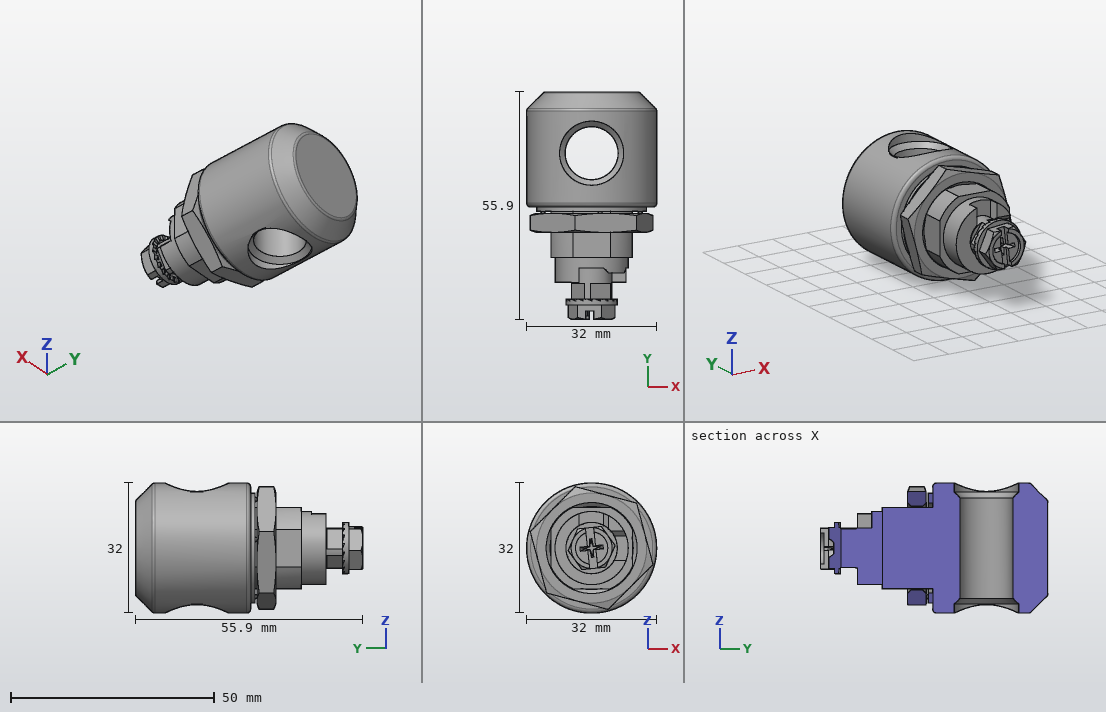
import cadquery as cq
import math


CAP_DIAMETER = 32.0
CAP_LENGTH = 28.3
CAP_CHAMFER = 4.35
CAP_FILLET = 1.0
SHANK_RADIUS = 11.0
SHANK_ACROSS_FLATS = 20.0
SHANK_LENGTH = 12.4

HOLE_RADIUS = 6.5
HOLE_MOUTH_RADIUS = 7.85
HOLE_FROM_SEAT = 13.2
MOUTH_CONE_HEIGHT = HOLE_MOUTH_RADIUS - HOLE_RADIUS
MOUTH_CONE_TOP = 13.7

RING_RADIUS = 13.5
RING_THICKNESS = 1.05
STUD_COUNT = 4
STUD_CIRCLE_RADIUS = 12.1
STUD_BASE_RADIUS = 0.6
STUD_TIP_RADIUS = 0.4
STUD_HEIGHT = 0.45
STUD_ANGLE = 80

NUT_ACROSS_FLATS = 27.0
NUT_THICKNESS = 4.7
NUT_VERTEX_ANGLE = 45
NUT_CHAMFER_ANGLE = 15
NUT_BORE_RADIUS = 10.2
NUT_BORE_MOUTH_RADIUS = 11.15
NUT_START = RING_THICKNESS + STUD_HEIGHT
NUT_END = NUT_START + NUT_THICKNESS

ROTOR_RADIUS = 9.0
ROTOR_LENGTH = 6.1
NOTCH_DEPTH = 3.5
NOTCH_EDGE = 3.05
STOP_HEIGHT = 1.15
STOP_EDGE = 2.95
HUB_RADIUS = 4.95
HUB_LENGTH = 4.1
HUB_SHOULDER = 0.3
HUB_ACROSS_FLATS = 8.05
HUB_FLAT_ANGLE = 57
ROTOR_END = SHANK_LENGTH + ROTOR_LENGTH
HUB_END = ROTOR_END + HUB_LENGTH

FLANGE_RADIUS = 6.3
FLANGE_THICKNESS = 1.5
TOOTH_COUNT = 36
TOOTH_DEPTH = 0.45
HEAD_ACROSS_FLATS = 10.05
HEAD_HEIGHT = 3.45
HEAD_CHAMFER_ANGLE = 30
HEAD_TURN = 6
DISH_RADIUS = 3.95
DISH_DEPTH = 0.85
SLOT_WIDTH = 2.0
SLOT_DEPTH = 2.0
CROSS_REACH = 2.85
CROSS_FLOOR_REACH = 1.7
CROSS_ARM_WIDTH = 1.0
CROSS_TIP_WIDTH = 0.1
CROSS_DEPTH = 2.4
HEAD_START = HUB_END + FLANGE_THICKNESS
HEAD_END = HEAD_START + HEAD_HEIGHT

AXIS_START = (0, 0, 0)
AXIS_END = (0, 1, 0)


def plane_at(depth):
    """Sketch plane facing -Y, with local x along X and local y along Z."""
    return cq.Workplane("XZ", origin=(0, -depth, 0))


def cylinder(start_depth, radius, length):
    return plane_at(start_depth).circle(radius).extrude(length)


def turned(profile):
    """Revolve a profile of (radius, depth) points about the Y axis."""
    points = [(radius, -depth) for radius, depth in profile]
    return cq.Workplane("XY").polyline(points).close().revolve(360, AXIS_START, AXIS_END)


def turn_about_axis(body, angle):
    """Turn a body counter-clockwise as seen looking toward +Y."""
    return body.rotate(AXIS_START, AXIS_END, -angle)


def hex_prism(start_depth, across_flats, length, vertex_angle):
    corner_diameter = across_flats / math.cos(math.radians(30))
    prism = plane_at(start_depth).polygon(6, corner_diameter).extrude(length)
    return turn_about_axis(prism, vertex_angle)


def corner_drop(across_flats, chamfer_angle):
    """Axial height removed at the corners of a hexagon by a conical chamfer."""
    inner_radius = across_flats / 2
    corner_radius = inner_radius / math.cos(math.radians(30))
    return (corner_radius - inner_radius) * math.tan(math.radians(chamfer_angle))


def nut_bore():
    """Space inside the nut: a cylinder flared at 45 degrees at both ends."""
    flare = NUT_BORE_MOUTH_RADIUS - NUT_BORE_RADIUS
    return turned([
        (0, NUT_START),
        (NUT_BORE_MOUTH_RADIUS, NUT_START),
        (NUT_BORE_RADIUS, NUT_START + flare),
        (NUT_BORE_RADIUS, NUT_END - flare),
        (NUT_BORE_MOUTH_RADIUS, NUT_END),
        (0, NUT_END),
    ])


def hole_cutter():
    hole = cq.Workplane("XY").circle(HOLE_RADIUS).extrude(CAP_DIAMETER, both=True)
    mouth = (
        cq.Workplane("XZ")
        .moveTo(0, MOUTH_CONE_TOP - MOUTH_CONE_HEIGHT)
        .lineTo(HOLE_RADIUS, MOUTH_CONE_TOP - MOUTH_CONE_HEIGHT)
        .lineTo(HOLE_MOUTH_RADIUS, MOUTH_CONE_TOP)
        .lineTo(HOLE_MOUTH_RADIUS, CAP_DIAMETER)
        .lineTo(0, CAP_DIAMETER)
        .close()
        .revolve(360, (0, 0, 0), (0, 1, 0))
    )
    return hole.union(mouth).union(mouth.mirror("XY")).translate((0, HOLE_FROM_SEAT, 0))


def make_housing():
    cap = cylinder(-CAP_LENGTH, CAP_DIAMETER / 2, CAP_LENGTH)
    cap = cap.faces(">Y").chamfer(CAP_CHAMFER)
    cap = cap.edges("%CIRCLE").fillet(CAP_FILLET)
    cap = cap.cut(hole_cutter())

    shank = cylinder(0, SHANK_RADIUS, SHANK_LENGTH)
    flats = plane_at(0).rect(SHANK_ACROSS_FLATS, SHANK_ACROSS_FLATS).extrude(SHANK_LENGTH)
    shank = shank.intersect(flats)
    engaged = plane_at(NUT_START).rect(CAP_DIAMETER, CAP_DIAMETER).extrude(NUT_THICKNESS)
    shank = shank.cut(engaged.cut(nut_bore()))
    return cap.union(shank)


def make_ring():
    ring = cylinder(0, RING_RADIUS, RING_THICKNESS).cut(cylinder(0, SHANK_RADIUS, RING_THICKNESS))
    for index in range(STUD_COUNT):
        angle = math.radians(STUD_ANGLE + index * 360 / STUD_COUNT)
        position = cq.Vector(
            STUD_CIRCLE_RADIUS * math.cos(angle), -RING_THICKNESS, STUD_CIRCLE_RADIUS * math.sin(angle)
        )
        stud = cq.Solid.makeCone(STUD_BASE_RADIUS, STUD_TIP_RADIUS, STUD_HEIGHT, position, cq.Vector(0, -1, 0))
        ring = ring.union(cq.Workplane(stud))
    return ring


def make_nut():
    nut = hex_prism(NUT_START, NUT_ACROSS_FLATS, NUT_THICKNESS, NUT_VERTEX_ANGLE)
    face_radius = NUT_ACROSS_FLATS / 2
    corner_radius = face_radius / math.cos(math.radians(30))
    drop = corner_drop(NUT_ACROSS_FLATS, NUT_CHAMFER_ANGLE)
    chamfered = turned([
        (0, NUT_START),
        (face_radius, NUT_START),
        (corner_radius, NUT_START + drop),
        (corner_radius, NUT_END - drop),
        (face_radius, NUT_END),
        (0, NUT_END),
    ])
    return nut.intersect(chamfered).cut(nut_bore())


def make_stop():
    """Square corner block on the notch floor, with 45 degree inward flanks."""
    floor_depth = ROTOR_END - NOTCH_DEPTH
    size = 2 * ROTOR_RADIUS
    base_center = STOP_EDGE + size / 2
    block = (
        plane_at(floor_depth)
        .center(base_center, base_center)
        .rect(size, size)
        .workplane(offset=STOP_HEIGHT)
        .center(STOP_HEIGHT, STOP_HEIGHT)
        .rect(size, size)
        .loft(ruled=True)
    )
    return block.intersect(cylinder(floor_depth, ROTOR_RADIUS, STOP_HEIGHT))


def make_rotor():
    drum = cylinder(SHANK_LENGTH, ROTOR_RADIUS, ROTOR_LENGTH)
    notch_size = 2 * ROTOR_RADIUS
    notch = (
        plane_at(ROTOR_END - NOTCH_DEPTH)
        .rect(notch_size, notch_size, centered=False)
        .extrude(NOTCH_DEPTH)
        .translate((-NOTCH_EDGE, 0, -NOTCH_EDGE))
    )
    drum = drum.cut(notch).union(make_stop())

    hub = cylinder(SHANK_LENGTH, HUB_RADIUS, ROTOR_LENGTH + HUB_SHOULDER)
    square_start = ROTOR_END + HUB_SHOULDER
    square_length = HUB_END - square_start
    square = plane_at(square_start).rect(HUB_ACROSS_FLATS, HUB_ACROSS_FLATS).extrude(square_length)
    square = turn_about_axis(square, HUB_FLAT_ANGLE)
    square = square.intersect(cylinder(square_start, HUB_RADIUS, square_length))
    return drum.union(hub).union(square)


def make_serrated_flange():
    flange = cylinder(HUB_END, FLANGE_RADIUS, FLANGE_THICKNESS)
    pitch = 2 * math.pi * FLANGE_RADIUS / TOOTH_COUNT
    gap = (
        cq.Workplane("XY", origin=(0, -HUB_END, HUB_RADIUS))
        .polyline([(0, 0), (pitch, 0), (pitch, -TOOTH_DEPTH)])
        .close()
        .extrude(FLANGE_RADIUS)
    )
    gaps = [turn_about_axis(gap, index * 360 / TOOTH_COUNT).val() for index in range(TOOTH_COUNT)]
    return flange.cut(cq.Workplane(cq.Compound.makeCompound(gaps)))


def cross_arm():
    """One tapered arm of the cross recess, pointing along +X."""
    half_width = CROSS_ARM_WIDTH / 2
    half_tip = CROSS_TIP_WIDTH / 2
    mouth = [(0, -half_width), (CROSS_REACH, -half_width), (CROSS_REACH, half_width), (0, half_width)]
    floor = [(0, -half_width), (CROSS_FLOOR_REACH, -half_tip), (CROSS_FLOOR_REACH, half_tip), (0, half_width)]
    floor_depth = HEAD_END - DISH_DEPTH - CROSS_DEPTH
    return (
        plane_at(floor_depth)
        .polyline(floor)
        .close()
        .workplane(offset=CROSS_DEPTH)
        .polyline(mouth)
        .close()
        .loft(ruled=True)
    )


def make_screw():
    head = hex_prism(HEAD_START, HEAD_ACROSS_FLATS, HEAD_HEIGHT, 0)
    face_radius = HEAD_ACROSS_FLATS / 2
    corner_radius = face_radius / math.cos(math.radians(30))
    drop = corner_drop(HEAD_ACROSS_FLATS, HEAD_CHAMFER_ANGLE)
    chamfered = turned([
        (0, HEAD_START),
        (corner_radius, HEAD_START),
        (corner_radius, HEAD_END - drop),
        (face_radius, HEAD_END),
        (0, HEAD_END),
    ])
    head = head.intersect(chamfered)
    head = head.cut(cylinder(HEAD_END - DISH_DEPTH, DISH_RADIUS, DISH_DEPTH))
    slot = plane_at(HEAD_END - SLOT_DEPTH).rect(SLOT_WIDTH, 2 * corner_radius).extrude(SLOT_DEPTH)
    head = head.cut(slot)
    for index in range(4):
        head = head.cut(turn_about_axis(cross_arm(), index * 90))
    return turn_about_axis(head, HEAD_TURN).union(make_serrated_flange())


housing = make_housing()
ring = make_ring()
nut = make_nut()
rotor = make_rotor()
screw = make_screw()

result = cq.Compound.makeCompound([
    housing.val(),
    ring.val(),
    nut.val(),
    rotor.val(),
    screw.val(),
])